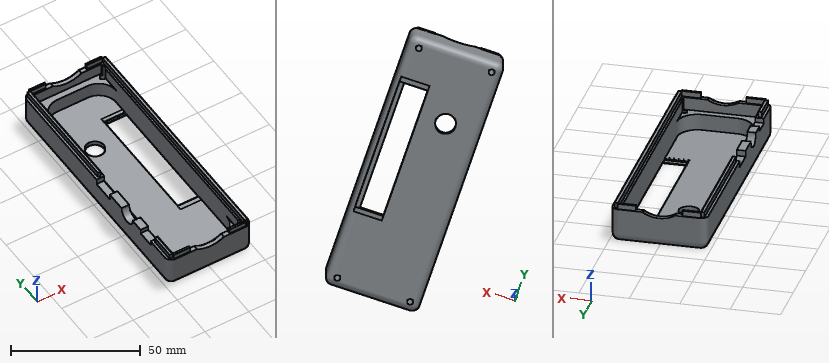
import cadquery as cq

LENGTH_X = 38.0
LENGTH_Y = 105.0
HEIGHT = 16.0
RIM_Z = 13.8
EDGE_RADIUS = 3.0
HALF_X = LENGTH_X / 2
HALF_Y = LENGTH_Y / 2

SIDE_WALL = 3.5
END_WALL = 2.0
SHELF_Z = 8.6
FLOOR_Z = 2.0
POCKET_RADIUS = 8.0
POCKET_LEFT_MARGIN = 4.7
POCKET_END_MARGIN = 4.8

SIDE_TONGUE_INSET = 1.2
SIDE_TONGUE_INNER = 2.55
END_TONGUE_INSET = 0.35
END_TONGUE_INNER = 1.3
TONGUE_CORNER_OVERLAP = 0.05
FRONT_TONGUE_REACH = 10.0
BACK_TONGUE_REACH = 9.7
LEFT_TONGUE_GAP_START = 12.1
LEFT_TONGUE_GAP_END = 52.9

SCOOP_RADIUS = 12.0
FRONT_SCOOP_DEPTH = 1.7
BACK_SCOOP_DEPTH = 1.9

WIDE_NOTCH = (42.5, 52.0, 2.5)
NARROW_NOTCH = (13.1, 20.3, 1.9)
CABLE_NOTCH_DISTANCE = 30.0
CABLE_NOTCH_RADIUS = 4.0

WINDOW_LEFT = 25.0
WINDOW_FRONT = 33.1
WINDOW_BACK = 86.0
UNDERCUT_REACH = 2.0
UNDERCUT_TOP_Z = 1.6
GROOVE_BOTTOM_Z = 0.4
BUTTON_DIAMETER = 8.0
BUTTON_X = 14.3
BUTTON_Y = 75.7
SCREW_DIAMETER = 2.3
SCREW_INSET_X = 4.2
SCREW_INSET_Y = 4.0


def box(x_range, y_range, z_range):
    """Box spanning the given ranges; X and Y count from the left front corner."""
    size = [high - low for low, high in (x_range, y_range, z_range)]
    corner = (x_range[0] - HALF_X, y_range[0] - HALF_Y, z_range[0])
    return cq.Workplane("XY").box(*size, centered=False).translate(corner)


def vertical_hole(x, y, diameter):
    """Cutter through the full height; X and Y count from the left front corner."""
    return cq.Workplane("XY").center(x - HALF_X, y - HALF_Y).circle(diameter / 2).extrude(HEIGHT)


def outer_block():
    block = cq.Workplane("XY").box(LENGTH_X, LENGTH_Y, RIM_Z, centered=(True, True, False))
    block = block.edges("|Z").fillet(EDGE_RADIUS)
    return block.faces("<Z").edges().fillet(EDGE_RADIUS)


def interior():
    cavity = box(
        (SIDE_WALL, LENGTH_X - SIDE_WALL),
        (END_WALL, LENGTH_Y - END_WALL),
        (SHELF_Z, HEIGHT),
    )
    pocket = box(
        (POCKET_LEFT_MARGIN, LENGTH_X - SIDE_WALL),
        (POCKET_END_MARGIN, LENGTH_Y - POCKET_END_MARGIN),
        (FLOOR_Z, HEIGHT),
    )
    return cavity.union(pocket.edges("|Z").fillet(POCKET_RADIUS))


def tongue():
    z_range = (RIM_Z, HEIGHT)
    left = (SIDE_TONGUE_INSET, SIDE_TONGUE_INNER)
    right = (LENGTH_X - SIDE_TONGUE_INNER, LENGTH_X - SIDE_TONGUE_INSET)
    side_start = END_TONGUE_INNER - TONGUE_CORNER_OVERLAP
    side_end = LENGTH_Y - side_start
    bars = box(right, (side_start, side_end), z_range)
    bars = bars.union(box(left, (side_start, LEFT_TONGUE_GAP_START), z_range))
    bars = bars.union(box(left, (LEFT_TONGUE_GAP_END, side_end), z_range))

    front = (END_TONGUE_INSET, END_TONGUE_INNER)
    back = (LENGTH_Y - END_TONGUE_INNER, LENGTH_Y - END_TONGUE_INSET)
    end_start = SIDE_TONGUE_INNER - TONGUE_CORNER_OVERLAP
    for y_range, reach in ((front, FRONT_TONGUE_REACH), (back, BACK_TONGUE_REACH)):
        bars = bars.union(box((end_start, reach), y_range, z_range))
        bars = bars.union(box((LENGTH_X - reach, LENGTH_X - end_start), y_range, z_range))
    return bars


def finger_scoop(outer_y, depth):
    """Cylinder across one end wall, cutting to the given depth below the rim."""
    axis_z = RIM_Z - depth + SCOOP_RADIUS
    cylinder = cq.Workplane("XZ").center(0, axis_z).circle(SCOOP_RADIUS)
    return cylinder.extrude(END_WALL, both=True).translate((0, outer_y, 0))


def left_wall_notches():
    x_range = (0, SIDE_WALL)
    axis_y = CABLE_NOTCH_DISTANCE - HALF_Y
    cable = cq.Workplane("YZ").center(axis_y, RIM_Z).circle(CABLE_NOTCH_RADIUS)
    notches = cable.extrude(SIDE_WALL).translate((-HALF_X, 0, 0))
    for start, end, depth in (WIDE_NOTCH, NARROW_NOTCH):
        notches = notches.union(box(x_range, (start, end), (RIM_Z - depth, HEIGHT)))
    return notches


def floor_window():
    """Rectangular opening, undercut below the right wall and grooved at its front and back edges."""
    right_edge = LENGTH_X - SIDE_WALL
    undercut_x = (WINDOW_LEFT, right_edge + UNDERCUT_REACH)
    opening_y = (WINDOW_FRONT, WINDOW_BACK)
    groove_y = (WINDOW_FRONT - UNDERCUT_REACH, WINDOW_BACK + UNDERCUT_REACH)
    window = box((WINDOW_LEFT, right_edge), opening_y, (0, FLOOR_Z))
    window = window.union(box(undercut_x, opening_y, (0, UNDERCUT_TOP_Z)))
    return window.union(box(undercut_x, groove_y, (GROOVE_BOTTOM_Z, UNDERCUT_TOP_Z)))


def round_holes():
    holes = vertical_hole(BUTTON_X, BUTTON_Y, BUTTON_DIAMETER)
    for x in (SCREW_INSET_X, LENGTH_X - SCREW_INSET_X):
        for y in (SCREW_INSET_Y, LENGTH_Y - SCREW_INSET_Y):
            holes = holes.union(vertical_hole(x, y, SCREW_DIAMETER))
    return holes


result = outer_block().cut(interior())
result = result.cut(finger_scoop(-HALF_Y, FRONT_SCOOP_DEPTH))
result = result.cut(finger_scoop(HALF_Y, BACK_SCOOP_DEPTH))
result = result.cut(left_wall_notches())
result = result.cut(floor_window())
result = result.cut(round_holes())
result = result.union(tongue())